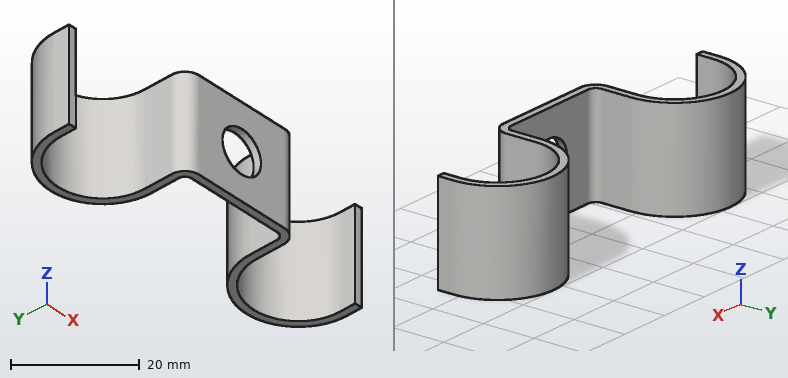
import cadquery as cq

length = 66.55
depth = 19.75
strip_width = 19.05
thickness = 1.5
saddle_outer_radius = 11.05
bend_outer_radius = 3.0
free_leg_length = 3.1
hole_diameter = 8.7

saddle_inner_radius = saddle_outer_radius - thickness
bend_inner_radius = bend_outer_radius - thickness
saddle_x = length / 2 - saddle_outer_radius
wall_inside_x = saddle_x - saddle_outer_radius
wall_outside_x = saddle_x - saddle_inner_radius
base_front_y = saddle_outer_radius - depth
base_back_y = base_front_y + thickness
bend_x = wall_outside_x - bend_outer_radius
bend_y = base_front_y + bend_outer_radius


def half_clip():
    """Right half of the bent strip, cut at the X = 0 symmetry plane."""
    return (
        cq.Workplane("XY")
        .workplane(offset=-strip_width / 2)
        .moveTo(0, base_front_y)
        .lineTo(bend_x, base_front_y)
        .radiusArc((wall_outside_x, bend_y), -bend_outer_radius)
        .lineTo(wall_outside_x, 0)
        .threePointArc((saddle_x, saddle_inner_radius), (saddle_x + saddle_inner_radius, 0))
        .lineTo(saddle_x + saddle_inner_radius, -free_leg_length)
        .lineTo(length / 2, -free_leg_length)
        .lineTo(length / 2, 0)
        .threePointArc((saddle_x, saddle_outer_radius), (wall_inside_x, 0))
        .lineTo(wall_inside_x, bend_y)
        .radiusArc((bend_x, base_back_y), bend_inner_radius)
        .lineTo(0, base_back_y)
        .close()
        .extrude(strip_width)
    )


def screw_hole():
    """Cylinder along Y that pierces the middle of the base."""
    return (
        cq.Workplane("XZ", origin=(0, base_back_y, 0))
        .circle(hole_diameter / 2)
        .extrude(thickness)
    )


right_half = half_clip()
clip = right_half.union(right_half.mirror("YZ")).clean()
result = clip.cut(screw_hole())